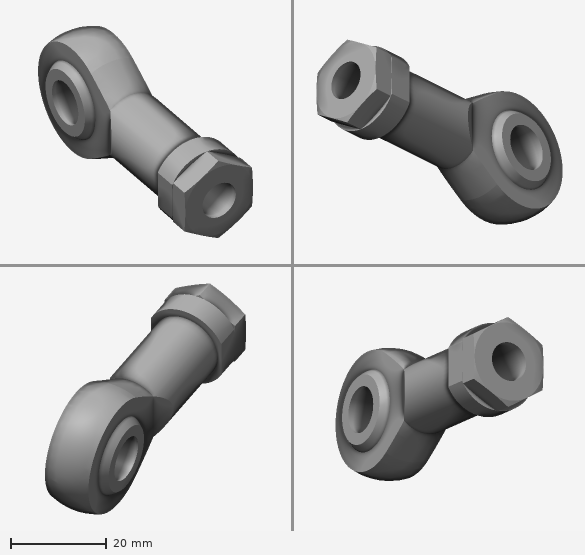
import cadquery as cq
import math

head_radius = 28.0 / 2
head_half_width = 10.5 / 2
ball_half_width = 14.0 / 2
ball_bore_diameter = 10.0
ball_face_radius = 15.0 / 2

shank_radius = 15.35 / 2
neck_end = 14.5
relief_angle = 30.0

housing_end = 43.0
collar_radius = 19.0 / 2
collar_length = 5.5
across_flats = 17.0
nut_thickness = 5.0
nut_chamfer_angle = 15.0
nut_face_radius = 16.9 / 2

thread_core_diameter = 8.38
thread_depth = 20.0

collar_start = housing_end - collar_length
nut_end = housing_end + nut_thickness


def turned_blank():
    """Spherical head, tangent conical neck, shank and collar, revolved about X."""
    tangent_angle = math.atan2(shank_radius, neck_end) + math.acos(
        head_radius / math.hypot(neck_end, shank_radius)
    )
    tangent_point = (head_radius * math.cos(tangent_angle), head_radius * math.sin(tangent_angle))
    mid_angle = (tangent_angle + math.pi) / 2
    mid_point = (head_radius * math.cos(mid_angle), head_radius * math.sin(mid_angle))
    return (
        cq.Workplane("XY")
        .moveTo(-head_radius, 0)
        .threePointArc(mid_point, tangent_point)
        .lineTo(neck_end, shank_radius)
        .lineTo(collar_start, shank_radius)
        .lineTo(collar_start, collar_radius)
        .lineTo(housing_end, collar_radius)
        .lineTo(housing_end, 0)
        .close()
        .revolve(360, (0, 0, 0), (1, 0, 0))
    )


def side_envelope():
    """Plan outline, extruded along Z, that flattens the head, ramps and collar."""
    half_flats = across_flats / 2
    ramp_end = neck_end + (half_flats - head_half_width) / math.tan(math.radians(relief_angle))
    half_outline = [
        (-head_radius, head_half_width),
        (neck_end, head_half_width),
        (ramp_end, half_flats),
        (housing_end, half_flats),
    ]
    mirrored = [(x, -y) for x, y in reversed(half_outline)]
    return cq.Workplane("XY").polyline(half_outline + mirrored).close().extrude(head_radius, both=True)


def ball_body():
    """Ball with flat ends, one with the head, standing out of both head faces."""
    ball_radius = math.hypot(ball_face_radius, ball_half_width)
    return (
        cq.Workplane("XY")
        .moveTo(0, -ball_half_width)
        .lineTo(ball_face_radius, -ball_half_width)
        .threePointArc((ball_radius, 0), (ball_face_radius, ball_half_width))
        .lineTo(0, ball_half_width)
        .close()
        .revolve(360, (0, 0, 0), (0, 1, 0))
    )


def thread_hole():
    """Core of the thread, running through the nut and blind into the rod end."""
    return (
        cq.Workplane("YZ", origin=(housing_end - thread_depth, 0, 0))
        .circle(thread_core_diameter / 2)
        .extrude(thread_depth + nut_thickness)
    )


def make_rod_end():
    """One-piece head, ball, neck, shank and flatted collar, bored and tapped."""
    ball_bore = cq.Workplane("XZ").circle(ball_bore_diameter / 2).extrude(ball_half_width, both=True)
    return turned_blank().intersect(side_envelope()).union(ball_body()).cut(ball_bore).cut(thread_hole())


def make_nut():
    """Hexagon nut with flats facing +Y and -Y, corners chamfered on both faces."""
    across_corners = across_flats / math.cos(math.radians(30))
    corner_radius = across_corners / 2
    chamfer_length = (corner_radius - nut_face_radius) * math.tan(math.radians(nut_chamfer_angle))
    hexagon = (
        cq.Workplane("YZ", origin=(housing_end, 0, 0))
        .polygon(6, across_corners)
        .extrude(nut_thickness)
        .rotate((0, 0, 0), (1, 0, 0), 90)
    )
    chamfer_envelope = (
        cq.Workplane("XY")
        .polyline([
            (housing_end, 0),
            (housing_end, nut_face_radius),
            (housing_end + chamfer_length, corner_radius),
            (nut_end - chamfer_length, corner_radius),
            (nut_end, nut_face_radius),
            (nut_end, 0),
        ])
        .close()
        .revolve(360, (0, 0, 0), (1, 0, 0))
    )
    return hexagon.intersect(chamfer_envelope).cut(thread_hole())


rod_end = make_rod_end()
nut = make_nut()
result = cq.Compound.makeCompound([rod_end.val(), nut.val()])